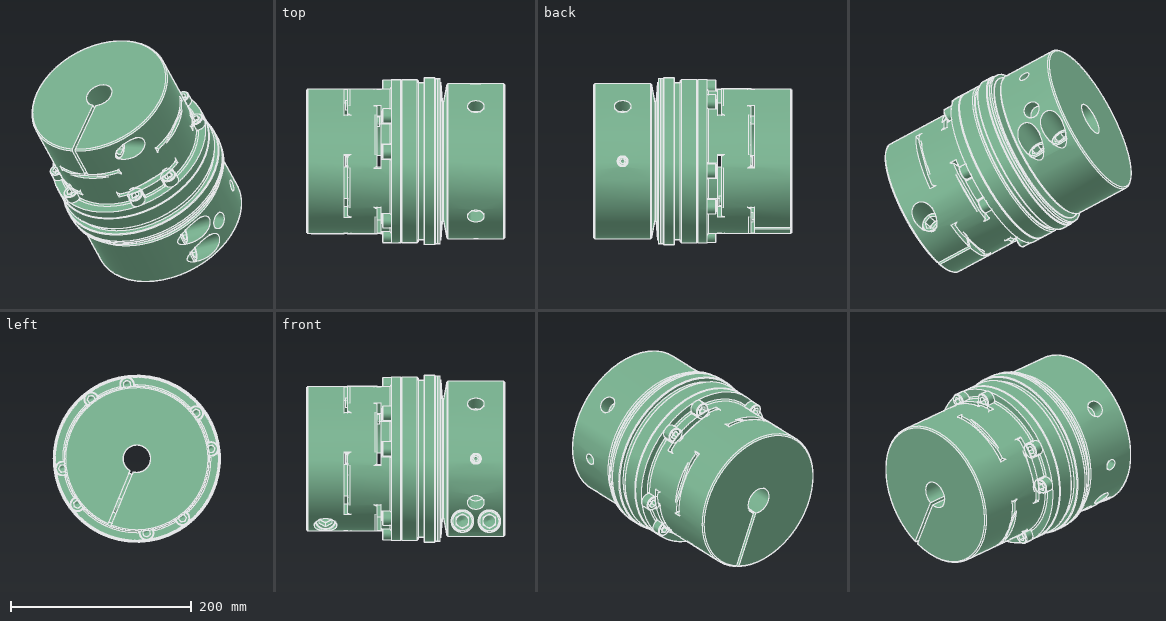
import cadquery as cq
import math


length = 219.2
overcut = 2.2
hub_radius = 80.2
hub_chamfer = 1.5
hub_flare = 1.8
flange_start = 93.8
flange_seam = 104.5
flange_end = 123.6
flange_radius = 181.0 / 2
flange_chamfer = 1.5
seam_depth = 0.7
waist_radius = 87.0
ring_start = 129.5
ring_end = 142.3
ring_radius = 185.0 / 2
ring_chamfer = 0.9
rim_seam = 145.1
rim_end = 147.7
rim_radius = 91.6
rim_seam_depth = 0.2
lip_end = 148.6
neck_start = 150.4
neck_end = 151.2
neck_radius = 130.0 / 2
clamp_start = 155.0
clamp_radius = 86.1
clamp_chamfer = 1.5

front_bore_diameter = 30.0
rear_bore_diameter = 36.2

gap_diameter = 2 * neck_radius
front_slot_x = (41.5, 45.4)
rear_slot_x = (78.0, 82.2)
sectors = 4
sector_step = 360 / sectors
front_slot_angle = sector_step / 4
rear_slot_angle = front_slot_angle + sector_step / 2
slot_half_angle = 28.0
slot_flare_width = 3.5
slot_flare_angle = 1.7
flat_half_angle = 17.3
flat_width = 2.6
boss_diameter = 10.3
boss_circle_radius = 62.0
boss_height = 2.5

bolt_circle_radius = 82.9
bolt_half_spacing = 15.0
bolt_head_diameter = 16.0
bolt_head_length = 10.0
bolt_head_chamfer = 0.9
bolt_hex = 8.0
bolt_socket_depth = 5.5
bolt_pocket_diameter = 18.5
bolt_pocket_start = 82.9

slit_width = 3.7
slit_angle = -rear_slot_angle
screw_head_diameter = 24.0
screw_head_chamfer = 1.3
screw_seat_diameter = 25.0
screw_shank_diameter = 16.5
screw_hex = 14.0
screw_socket_depth = 11.0
seat_depth_below_head = 16.0
front_screw_x = 20.8
front_screw_offset = 56.3
front_screw_face = 40.8
rear_screw_x = (172.3, 202.0)
rear_screw_offset = 69.0
rear_screw_face = 35.0

drill_tip_angle = 118.0

radial_hole_x = 187.2
radial_hole_diameter = 18.5
radial_hole_floor = 69.0
radial_hole_angles = (45.0, 135.0, 214.4)
set_screw_hole_diameter = 12.0
set_screw_diameter = 10.0
set_screw_face = 77.8
set_screw_chamfer = 0.9
set_screw_hex = 5.0
set_screw_socket_depth = 4.4
set_screw_angles = (0.0, 180.0)


def polar(radius, angle):
    """Y and Z of a point at the given radius and angle about the X axis."""
    a = math.radians(angle)
    return radius * math.cos(a), radius * math.sin(a)


def rod(diameter, x_start, x_end, center=(0, 0)):
    """Cylinder along X."""
    plane = cq.Workplane("YZ", origin=(x_start, 0, 0)).center(*center)
    return plane.circle(diameter / 2).extrude(x_end - x_start)


def hex_corners(across_flats):
    return across_flats / math.cos(math.pi / 6)


def drill_tip(plane, diameter):
    """Cone with its base on the plane and its tip below it."""
    radius = diameter / 2
    height = radius / math.tan(math.radians(drill_tip_angle / 2))
    return cq.Workplane(cq.Solid.makeCone(radius, 0, height, plane.origin, -plane.zDir))


def hex_socket(plane, across_flats, depth):
    """Hexagon socket sunk from the plane, ending in a drill cone."""
    hexagon = cq.Workplane(plane).polygon(6, hex_corners(across_flats)).extrude(-depth)
    floor = cq.Workplane(plane).workplane(offset=-depth).plane
    return hexagon.union(drill_tip(floor, across_flats))


def turned_body():
    points = [
        (0, 0),
        (0, hub_radius - hub_chamfer),
        (hub_chamfer, hub_radius),
        (flange_start - hub_flare, hub_radius),
        (flange_start, hub_radius + hub_flare),
        (flange_start, flange_radius),
        (flange_seam - seam_depth, flange_radius),
        (flange_seam, flange_radius - seam_depth),
        (flange_seam + seam_depth, flange_radius),
        (flange_end - flange_chamfer, flange_radius),
        (flange_end, flange_radius - flange_chamfer),
        (flange_end, waist_radius),
        (ring_start, waist_radius),
        (ring_start, ring_radius - ring_chamfer),
        (ring_start + ring_chamfer, ring_radius),
        (ring_end - ring_chamfer, ring_radius),
        (ring_end, rim_radius),
        (rim_seam - rim_seam_depth, rim_radius),
        (rim_seam, rim_radius - rim_seam_depth),
        (rim_seam + rim_seam_depth, rim_radius),
        (rim_end, rim_radius),
        (rim_end, waist_radius),
        (lip_end, waist_radius),
        (neck_start, neck_radius),
        (neck_end, neck_radius),
        (clamp_start, clamp_radius - clamp_chamfer),
        (clamp_start + clamp_chamfer, clamp_radius),
        (length - clamp_chamfer, clamp_radius),
        (length, clamp_radius - clamp_chamfer),
        (length, 0),
    ]
    return cq.Workplane("XY").polyline(points).close().revolve(360, (0, 0, 0), (1, 0, 0))


def wedge(x_start, x_end, angle_start, angle_end):
    """Sector from the axis out past the hub surface."""
    outer = hub_radius / math.cos(math.radians(slot_half_angle)) + overcut
    plane = cq.Workplane("YZ", origin=(x_start, 0, 0))
    return (
        plane.lineTo(*polar(outer, angle_start))
        .threePointArc(polar(outer, (angle_start + angle_end) / 2), polar(outer, angle_end))
        .close()
        .extrude(x_end - x_start)
    )


def end_flare(edge_x, side, tip_angle, turn):
    """Triangular widening at one end of a slot, from edge_x towards side (+1 or -1) along X.

    turn is +1 at the end with the larger angle and -1 at the other.
    """
    spread = hub_radius * math.radians(slot_flare_angle)
    triangle = [(edge_x, 0), (edge_x + side * slot_flare_width, 0), (edge_x, turn * spread)]
    depth = hub_radius - gap_diameter / 2
    prism = cq.Workplane("XY", origin=(0, 0, gap_diameter / 2)).polyline(triangle).close()
    return prism.extrude(depth + overcut).rotate((0, 0, 0), (1, 0, 0), tip_angle - 90)


def slot_cutter(slot_x, center_angle, side):
    """Open disc gap, its four rim slots, and the flats beside them on the given side."""
    x_start, x_end = slot_x
    edge_x = x_end if side > 0 else x_start
    cutter = rod(gap_diameter, x_start, x_end)
    flat_floor = hub_radius * math.cos(math.radians(flat_half_angle))
    flat_depth = hub_radius - flat_floor + overcut
    flat_length = 2 * hub_radius * math.sin(math.radians(flat_half_angle))
    for k in range(sectors):
        middle = center_angle + k * sector_step
        cutter = cutter.union(wedge(x_start, x_end, middle - slot_half_angle, middle + slot_half_angle))
        for turn in (-1, 1):
            cutter = cutter.union(end_flare(edge_x, side, middle + turn * slot_half_angle, turn))
        flat = cq.Workplane("XY").box(2 * flat_width, flat_length, flat_depth, centered=(True, True, False))
        flat = flat.translate((edge_x, 0, flat_floor)).rotate((0, 0, 0), (1, 0, 0), middle - 90)
        cutter = cutter.union(flat)
    return cutter


def add_bosses(body, x_start, x_end, first_angle):
    for k in range(sectors):
        center = polar(boss_circle_radius, first_angle + k * sector_step)
        body = body.union(rod(boss_diameter, x_start, x_end, center))
    return body


def add_flange_bolts(body):
    head_top = flange_start - bolt_head_length
    for k in range(sectors):
        for turn in (-1, 1):
            angle = rear_slot_angle + k * sector_step + turn * bolt_half_spacing
            center = polar(bolt_circle_radius, angle)
            body = body.cut(rod(bolt_pocket_diameter, bolt_pocket_start, flange_start, center))
            head = rod(bolt_head_diameter, head_top, flange_start, center)
            head = head.faces("<X").chamfer(bolt_head_chamfer)
            top = cq.Plane(origin=(head_top, *center), xDir=(0, *polar(1, angle)), normal=(-1, 0, 0))
            body = body.union(head).cut(hex_socket(top, bolt_hex, bolt_socket_depth))
    return body


def add_screw(body, plane, face, head_diameter, head_chamfer, seat_diameter, hex_size, socket_depth):
    """Sink a socket screw whose head face lies at height face on the plane's outward normal."""
    seat_floor = face - seat_depth_below_head
    seat_depth = clamp_radius + overcut - seat_floor
    seat = cq.Workplane(plane).workplane(offset=seat_floor).circle(seat_diameter / 2)
    head = cq.Workplane(plane).workplane(offset=seat_floor).circle(head_diameter / 2)
    head = head.extrude(seat_depth_below_head)
    head = head.faces(cq.selectors.DirectionMinMaxSelector(plane.zDir)).chamfer(head_chamfer)
    top = cq.Workplane(plane).workplane(offset=face).plane
    body = body.cut(seat.extrude(seat_depth)).union(head)
    return body.cut(hex_socket(top, hex_size, socket_depth))


def add_clamp_screw(body, x, offset, face, toward_angle):
    """Clamping screw across the hub; toward_angle is the direction from the axis to the screw."""
    side = polar(1, toward_angle)
    outward = polar(1, toward_angle - 90)
    plane = cq.Plane(
        origin=(x, offset * side[0], offset * side[1]),
        xDir=(0, *side),
        normal=(0, *outward),
    )
    return add_screw(
        body, plane, face, screw_head_diameter, screw_head_chamfer,
        screw_seat_diameter, screw_hex, screw_socket_depth,
    )


def add_front_clamp(body):
    """Radial slit through the left hub, crossed by the shank of its clamping screw."""
    slit_size = (front_slot_x[0], hub_radius + overcut, slit_width)
    slit = cq.Workplane("XY").box(*slit_size, centered=(False, False, True))
    slit = slit.rotate((0, 0, 0), (1, 0, 0), slit_angle)
    shank = cq.Workplane("XY").circle(screw_shank_diameter / 2).extrude(slit_width / 2, both=True)
    shank = shank.translate((front_screw_x, front_screw_offset, 0))
    shank = shank.rotate((0, 0, 0), (1, 0, 0), slit_angle)
    body = body.cut(slit).union(shank)
    return add_clamp_screw(body, front_screw_x, front_screw_offset, front_screw_face, slit_angle)


def radial_plane(angle):
    """Plane through the axis, facing outwards at the given angle."""
    return cq.Plane(origin=(radial_hole_x, 0, 0), xDir=(1, 0, 0), normal=(0, *polar(1, angle)))


def add_radial_holes(body):
    for angle in radial_hole_angles:
        hole = cq.Workplane(radial_plane(angle)).workplane(offset=radial_hole_floor)
        tip = drill_tip(hole.plane, radial_hole_diameter)
        body = body.cut(hole.circle(radial_hole_diameter / 2).extrude(clamp_radius)).cut(tip)
    for angle in set_screw_angles:
        body = add_screw(
            body, radial_plane(angle), set_screw_face, set_screw_diameter, set_screw_chamfer,
            set_screw_hole_diameter, set_screw_hex, set_screw_socket_depth,
        )
    return body


result = turned_body()
result = result.cut(rod(front_bore_diameter, 0, length))
result = result.cut(rod(rear_bore_diameter, front_slot_x[0], length))
result = result.cut(slot_cutter(front_slot_x, front_slot_angle, 1))
result = result.cut(slot_cutter(rear_slot_x, rear_slot_angle, -1))
result = add_bosses(result, front_slot_x[1] - boss_height, front_slot_x[1], 0)
result = add_bosses(result, rear_slot_x[0], rear_slot_x[0] + boss_height, sector_step / 2)
result = add_flange_bolts(result)
result = add_front_clamp(result)
for screw_x in rear_screw_x:
    result = add_clamp_screw(result, screw_x, rear_screw_offset, rear_screw_face, -90)
result = add_radial_holes(result)